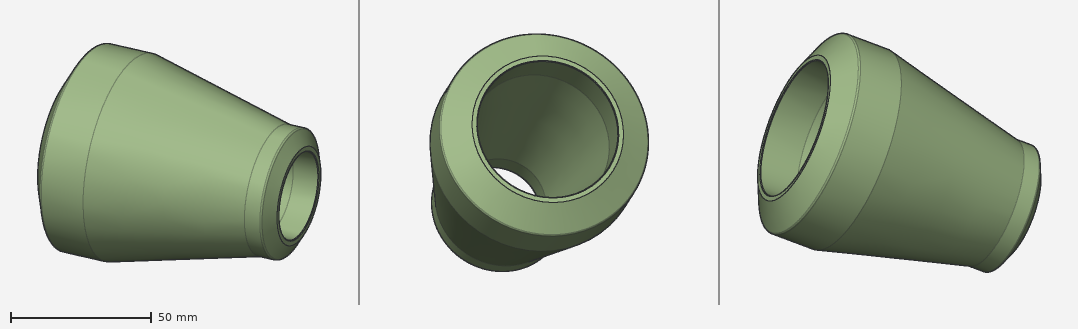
import cadquery as cq
import math

length = 90.0
full_turn = 360.0
large_end_diameter = 76.1
large_bore_diameter = 51.1
small_end_diameter = 48.3
small_bore_diameter = 32.3

taper_start = 23.0
bore_taper_start = 15.0
taper_end = 80.0
root_face = 2.0
bevel_angle = math.radians(30)
bevel_edge_radius = 0.8
bore_mouth_chamfer = 0.3

axis_start = (0, 0, 0)
axis_end = (1, 0, 0)

large_radius = large_end_diameter / 2
large_bore_radius = large_bore_diameter / 2
small_radius = small_end_diameter / 2
small_bore_radius = small_bore_diameter / 2


def bevel_length(outer_radius, bore_radius):
    """Axial length of a weld bevel from the root face to the outer cylinder."""
    return (outer_radius - bore_radius - root_face) * math.tan(bevel_angle)


def make_outer_body():
    """Solid body: bevel, large cylinder, taper, small cylinder, bevel."""
    large_bevel = bevel_length(large_radius, large_bore_radius)
    small_bevel = bevel_length(small_radius, small_bore_radius)
    profile = (
        cq.Workplane("XZ")
        .moveTo(0, 0)
        .lineTo(0, large_bore_radius + root_face)
        .lineTo(large_bevel, large_radius)
        .lineTo(taper_start, large_radius)
        .lineTo(taper_end, small_radius)
        .lineTo(length - small_bevel, small_radius)
        .lineTo(length, small_bore_radius + root_face)
        .lineTo(length, 0)
        .close()
    )
    body = profile.revolve(full_turn, axis_start, axis_end)
    body = round_bevel_edge(body, large_bevel)
    return round_bevel_edge(body, length - small_bevel)


def round_bevel_edge(body, edge_x):
    """Round the circular edge, centred at edge_x, where a bevel meets its outer cylinder."""
    edge_at_centre = cq.selectors.NearestToPointSelector((edge_x, 0, 0))
    return body.edges("%CIRCLE").edges(edge_at_centre).fillet(bevel_edge_radius)


def make_bore():
    """Through bore: chamfered large cylinder, taper, chamfered small cylinder."""
    return (
        cq.Workplane("XZ")
        .moveTo(0, 0)
        .lineTo(0, large_bore_radius + bore_mouth_chamfer)
        .lineTo(bore_mouth_chamfer, large_bore_radius)
        .lineTo(bore_taper_start, large_bore_radius)
        .lineTo(taper_end, small_bore_radius)
        .lineTo(length - bore_mouth_chamfer, small_bore_radius)
        .lineTo(length, small_bore_radius + bore_mouth_chamfer)
        .lineTo(length, 0)
        .close()
        .revolve(full_turn, axis_start, axis_end)
    )


result = make_outer_body().cut(make_bore())